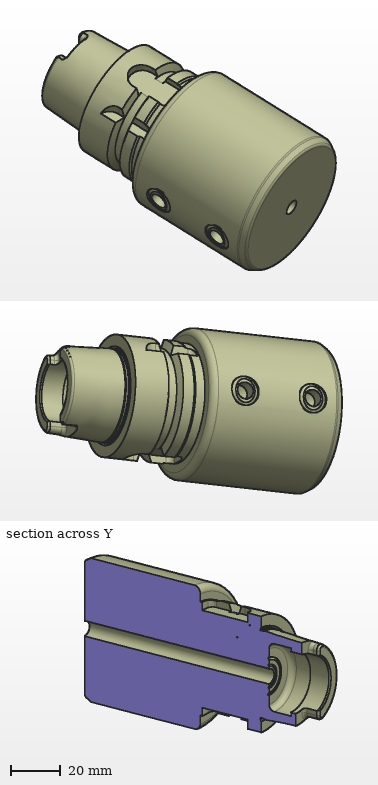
import cadquery as cq
import math

SHANK_END_X = -25.0
TAPER_END_X = -2.0
RELIEF_START_X = -1.4
UNDERCUT_START_X = -0.4
UNDERCUT_DEPTH = 0.4
GROOVE_START_X = 14.8
GROOVE_FLOOR_START_X = 16.05
GROOVE_FLOOR_END_X = 19.8
GROOVE_END_X = 21.2
FLANGE_END_X = 26.0
NECK_START_X = 26.9
BODY_START_X = 31.0
BODY_END_X = 90.0

TAPER_RATIO = 1 / 10
TAPER_LARGE_R = 19.15
TAPER_SMALL_R = TAPER_LARGE_R - (TAPER_END_X - SHANK_END_X) * TAPER_RATIO / 2
RELIEF_R = 37.9 / 2
UNDERCUT_INNER_R = 18.8
UNDERCUT_FLOOR_R = 19.4
UNDERCUT_OUTER_R = 20.2
FLANGE_R = 25.0
GROOVE_R = 21.5
NECK_R = 49.0 / 2
BODY_R = 31.0

SHANK_END_ROUND = 1.0
BODY_BACK_ROUND = 3.0
BODY_FRONT_CHAMFER_LENGTH = 3.25
BODY_FRONT_CHAMFER_ANGLE = 30.0
BODY_FRONT_ROUND = 1.4

BORE_R = 26.0 / 2
BORE_MOUTH_CHAMFER = 0.6
BORE_LEAD_DEPTH = 10.0
BORE_CHAMBER_R = 29.0 / 2
BORE_FLOOR_ROUND = 2.5
BORE_DEPTH = 21.0
PLUG_R = 16.0 / 2
PLUG_TIP_R = 14.0 / 2
JET_R = 10.0 / 2
JET_TIP_R = 8.5 / 2
COOLANT_R = 6.4 / 2

THREAD_END_ANGLE = 60.0
RING_OVERLAP = 0.5

KEYWAY_HALF_WIDTH = 5.3
KEYWAY_FLARE_R = 2.4
KEYWAY_FLARE_Z = 13.8
KEYWAY_FLOOR_ROUND = 1.5
KEYWAY_MOUTH_CHAMFER = 1.0
KEYWAY_TOP_DEPTH = 4.25
KEYWAY_BOTTOM_DEPTH = 7.5

SLOT_START_X = 7.0
SLOT_END_X = 30.1
SLOT_WIDTH = 12.1
SLOT_CORNER_R = 2.5
SLOT_FLOOR_Z = 21.0
NOTCH_FLOOR_Z = 15.4
NOTCH_WALL_Y = -15.4

SCREW_X = (46.0, 76.0)
SCREW_R = 12.0 / 2
SCREW_TIP_R = 8.5 / 2
SOCKET_R = 6.93 / 2
SOCKET_DEPTH = 6.0
SOCKET_POINT_ANGLE = 120.0


def revolve_about_x(profile):
    """Turn a closed (x, radius) profile about the X axis."""
    return profile.close().revolve(360, (0, 0, 0), (1, 0, 0))


def turned_body():
    """Taper shank, grooved flange, neck and cylindrical body."""
    rim_r = BODY_R - BODY_FRONT_CHAMFER_LENGTH * math.tan(math.radians(BODY_FRONT_CHAMFER_ANGLE))
    profile = (
        cq.Workplane("XY")
        .moveTo(SHANK_END_X, 0)
        .lineTo(SHANK_END_X, TAPER_SMALL_R)
        .lineTo(TAPER_END_X, TAPER_LARGE_R)
        .lineTo(RELIEF_START_X, RELIEF_R)
        .lineTo(UNDERCUT_START_X, RELIEF_R)
        .lineTo(0, UNDERCUT_INNER_R)
        .lineTo(UNDERCUT_DEPTH, UNDERCUT_INNER_R)
        .lineTo(UNDERCUT_DEPTH, UNDERCUT_FLOOR_R)
        .lineTo(0, UNDERCUT_OUTER_R)
        .lineTo(0, FLANGE_R)
        .lineTo(GROOVE_START_X, FLANGE_R)
        .lineTo(GROOVE_FLOOR_START_X, GROOVE_R)
        .lineTo(GROOVE_FLOOR_END_X, GROOVE_R)
        .lineTo(GROOVE_END_X, FLANGE_R)
        .lineTo(FLANGE_END_X, FLANGE_R)
        .lineTo(NECK_START_X, NECK_R)
        .lineTo(BODY_START_X, NECK_R)
        .lineTo(BODY_START_X, BODY_R - BODY_BACK_ROUND)
        .radiusArc((BODY_START_X + BODY_BACK_ROUND, BODY_R), BODY_BACK_ROUND)
        .lineTo(BODY_END_X - BODY_FRONT_CHAMFER_LENGTH, BODY_R)
        .lineTo(BODY_END_X, rim_r)
        .lineTo(BODY_END_X, 0)
    )
    chamfer_zone = cq.selectors.BoxSelector(
        (BODY_END_X - 2 * BODY_FRONT_CHAMFER_LENGTH, -BODY_R, -BODY_R),
        (BODY_END_X + BODY_FRONT_CHAMFER_LENGTH, BODY_R, BODY_R),
    )
    return revolve_about_x(profile).edges(chamfer_zone).edges("%CIRCLE").fillet(BODY_FRONT_ROUND)


def shank_bore():
    """Bore opening into a wider chamber with a rounded floor, then the coolant hole through the part."""
    floor_x = SHANK_END_X + BORE_DEPTH
    lead_end_x = SHANK_END_X + BORE_LEAD_DEPTH
    profile = (
        cq.Workplane("XY")
        .moveTo(SHANK_END_X, 0)
        .lineTo(SHANK_END_X, BORE_R + BORE_MOUTH_CHAMFER)
        .lineTo(SHANK_END_X + BORE_MOUTH_CHAMFER, BORE_R)
        .lineTo(lead_end_x, BORE_R)
        .lineTo(lead_end_x, BORE_CHAMBER_R)
        .lineTo(floor_x - BORE_FLOOR_ROUND, BORE_CHAMBER_R)
        .radiusArc((floor_x, BORE_CHAMBER_R - BORE_FLOOR_ROUND), BORE_FLOOR_ROUND)
        .lineTo(floor_x, COOLANT_R)
        .lineTo(BODY_END_X, COOLANT_R)
        .lineTo(BODY_END_X, 0)
    )
    return revolve_about_x(profile)


def thread_end_ring(hole_r, tip_r):
    """Ring between a threaded hole and the tapered end of the screw in it, going down from Z = 0."""
    depth = (hole_r - tip_r) / math.tan(math.radians(THREAD_END_ANGLE))
    return (
        cq.Workplane("XZ")
        .moveTo(tip_r, RING_OVERLAP)
        .lineTo(tip_r, 0)
        .lineTo(hole_r, -depth)
        .lineTo(hole_r, RING_OVERLAP)
        .close()
        .revolve(360, (0, 0, 0), (0, 1, 0))
    )


def bore_floor_ring(hole_r, tip_r):
    """Thread end ring cut into the bore floor, around the X axis."""
    ring = thread_end_ring(hole_r, tip_r).rotate((0, 0, 0), (0, 1, 0), -90)
    return ring.translate((SHANK_END_X + BORE_DEPTH, 0, 0))


def keyway(depth, side):
    """Drive keyway cutter on the +Z (side = 1) or -Z (side = -1) of the shank end."""
    flare_y = KEYWAY_HALF_WIDTH + KEYWAY_FLARE_R
    flare_z = KEYWAY_FLARE_Z + KEYWAY_FLARE_R
    outer_z = 2 * TAPER_LARGE_R
    cutter = (
        cq.Workplane("YZ", origin=(SHANK_END_X + depth, 0, 0))
        .moveTo(-KEYWAY_HALF_WIDTH, 0)
        .lineTo(-KEYWAY_HALF_WIDTH, KEYWAY_FLARE_Z)
        .radiusArc((-flare_y, flare_z), -KEYWAY_FLARE_R)
        .lineTo(-outer_z, flare_z)
        .lineTo(-outer_z, outer_z)
        .lineTo(outer_z, outer_z)
        .lineTo(outer_z, flare_z)
        .lineTo(flare_y, flare_z)
        .radiusArc((KEYWAY_HALF_WIDTH, KEYWAY_FLARE_Z), -KEYWAY_FLARE_R)
        .lineTo(KEYWAY_HALF_WIDTH, 0)
        .close()
        .extrude(-depth)
        .faces(">X")
        .edges("not(<Z or >Z or <Y or >Y)")
        .fillet(KEYWAY_FLOOR_ROUND)
    )
    if side < 0:
        cutter = cutter.rotate((0, 0, 0), (1, 0, 0), 180)
    return cutter


def slot(center_y, floor_z):
    """Slot cutter with a full-round end toward the shank and a rounded square end."""
    half_width = SLOT_WIDTH / 2
    height = 2 * FLANGE_R - floor_z
    return (
        cq.Workplane("XY", origin=(0, center_y, floor_z))
        .moveTo(SLOT_START_X + half_width, half_width)
        .threePointArc((SLOT_START_X, 0), (SLOT_START_X + half_width, -half_width))
        .lineTo(SLOT_END_X, -half_width)
        .lineTo(SLOT_END_X, half_width)
        .close()
        .extrude(height)
        .edges("|Z and >X")
        .fillet(SLOT_CORNER_R)
    )


def screw_recess(x):
    """Ring around a clamping screw end and the pointed socket drilled into it."""
    point_depth = SOCKET_R / math.tan(math.radians(SOCKET_POINT_ANGLE / 2))
    socket = (
        cq.Workplane("XZ")
        .moveTo(0, 0)
        .lineTo(SOCKET_R, 0)
        .lineTo(SOCKET_R, -SOCKET_DEPTH)
        .lineTo(0, -SOCKET_DEPTH - point_depth)
        .close()
        .revolve(360, (0, 0, 0), (0, 1, 0))
    )
    recess = thread_end_ring(SCREW_R, SCREW_TIP_R).union(socket)
    return recess.rotate((0, 0, 0), (1, 0, 0), 90).translate((x, -BODY_R, 0))


result = turned_body()
result = result.cut(keyway(KEYWAY_TOP_DEPTH, 1)).cut(keyway(KEYWAY_BOTTOM_DEPTH, -1))
result = result.faces("<X").edges("|Z").chamfer(KEYWAY_MOUTH_CHAMFER)
outer_arcs = cq.selectors.RadiusNthSelector(-1)
result = result.faces("<X").edges(outer_arcs).fillet(SHANK_END_ROUND)

result = result.cut(shank_bore())
result = result.cut(bore_floor_ring(PLUG_R, PLUG_TIP_R)).cut(bore_floor_ring(JET_R, JET_TIP_R))

flange_slot = slot(0, SLOT_FLOOR_Z)
result = result.cut(flange_slot).cut(flange_slot.rotate((0, 0, 0), (1, 0, 0), 180))
result = result.cut(slot(NOTCH_WALL_Y - SLOT_WIDTH / 2, NOTCH_FLOOR_Z))

for screw_x in SCREW_X:
    result = result.cut(screw_recess(screw_x))